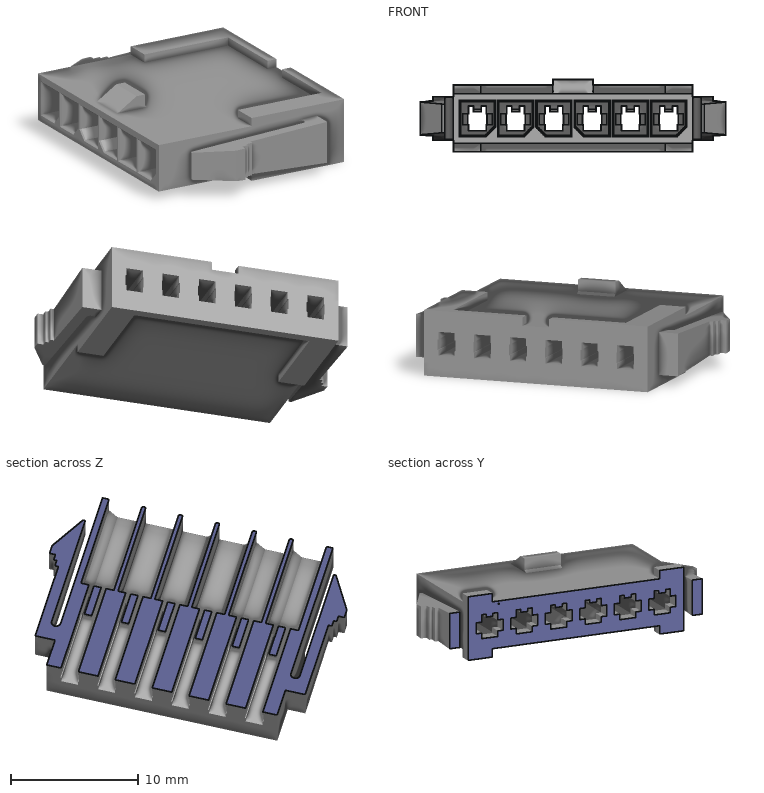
import cadquery as cq
import math


overall_width = 24.05
housing_width = 18.8
housing_length = 16.9
front_height = 3.9
rear_height = 5.27
overall_height = 5.7

half_housing = housing_width / 2
front_half_height = front_height / 2
rear_half_height = rear_height / 2

rail_start = 8.47
side_rail_width = 2.15
back_rail_depth = 0.82
back_rail_gap = 2.21

latch_width = 3.15
latch_toe = 0.82
latch_crest_front = 2.57
latch_crest_back = 3.35
latch_root_length = 0.25
latch_root_height = 0.2
latch_top = overall_height - rear_half_height

arm_back = 14.4
arm_tip = 2.5
arm_inner = 10.1
arm_outer = 11.01
arm_tip_width = 0.22
arm_tip_radius = 0.07
arm_slot_end = 13.04
arm_back_height = 3.45
arm_tip_height = 2.25
arm_overlap = 0.25
tooth_corners = [(11.3, 7.4), (11.55, 6.88), (overall_width / 2, 6.35)]
barb_ramp_start = 5.55

key_sides = [1, 1, -1, -1, 0, 1]
cavity_pitch = 3.0
cavity_size = 2.65
cavity_depth = rail_start
key_chamfer = 0.7
lead_in = 0.1

passage_width = 1.37
passage_height = 1.92
channel_width = 1.5
pocket_width = 2.3
channel_top = 0.35
channel_bottom = -0.5
pocket_depth = 2.4
lance_width = 0.63
lance_length = 2.89
lance_tip_length = 0.95
lance_step = 0.72
lance_tip = 0.5


def block(x_range, y_range, z_range):
    """Box spanning the given (low, high) range on each axis."""
    sizes = [high - low for low, high in (x_range, y_range, z_range)]
    corner = (x_range[0], y_range[0], z_range[0])
    return cq.Workplane("XY").box(*sizes, centered=False).translate(corner)


def centred(width):
    """Range of the given width about zero."""
    return (-width / 2, width / 2)


def make_housing():
    """Plain front block with rails along the sides and back of both faces."""
    whole_width = centred(housing_width)
    open_width = centred(housing_width - 2 * side_rail_width)
    open_length = (rail_start, housing_length - back_rail_depth)
    top_rails = (front_half_height, rear_half_height)
    bottom_rails = (-rear_half_height, -front_half_height)

    housing = block(whole_width, (0, housing_length), centred(front_height))
    for rail_heights in (top_rails, bottom_rails):
        rails = block(whole_width, (rail_start, housing_length), rail_heights)
        rails = rails.cut(block(open_width, open_length, rail_heights))
        housing = housing.union(rails)

    gap_length = (housing_length - back_rail_depth, housing_length)
    return housing.cut(block(centred(back_rail_gap), gap_length, top_rails))


def make_latch():
    """Ramp with an upright back and a small sloping root."""
    base = front_half_height
    profile = [
        (latch_toe, base),
        (latch_crest_front, latch_top),
        (latch_crest_back, latch_top),
        (latch_crest_back, base + latch_root_height),
        (latch_crest_back + latch_root_length, base),
    ]
    return cq.Workplane("YZ").polyline(profile).close().extrude(latch_width / 2, both=True)


def make_right_arm():
    """Toothed arm hinged at its back end, narrowing in height to its tip."""
    slot_radius = (arm_inner - half_housing) / 2
    slot_end_centre = arm_slot_end - slot_radius
    hinge_x = half_housing - arm_overlap

    outline = (
        cq.Workplane("XY")
        .moveTo(hinge_x, arm_back)
        .lineTo(arm_outer, arm_back)
    )
    step_x = arm_outer
    for tooth_x, tooth_y in tooth_corners:
        outline = outline.lineTo(step_x, tooth_y).lineTo(tooth_x, tooth_y)
        step_x = tooth_x
    outline = (
        outline.lineTo(step_x, barb_ramp_start)
        .lineTo(arm_inner + arm_tip_width, arm_tip)
        .lineTo(arm_inner + arm_tip_radius, arm_tip)
        .radiusArc((arm_inner, arm_tip + arm_tip_radius), arm_tip_radius)
        .lineTo(arm_inner, slot_end_centre)
        .threePointArc((arm_inner - slot_radius, arm_slot_end), (half_housing, slot_end_centre))
        .lineTo(hinge_x, slot_end_centre)
        .close()
    )
    arm = outline.extrude(arm_back_height / 2, both=True)

    side_profile = [
        (arm_back, arm_back_height / 2),
        (arm_tip, arm_tip_height / 2),
        (arm_tip, -arm_tip_height / 2),
        (arm_back, -arm_back_height / 2),
    ]
    taper = cq.Workplane("YZ").polyline(side_profile).close().extrude(overall_width)
    return arm.intersect(taper)


def cavity_section(y, key_side, margin=0.0):
    """Cavity outline at depth y, its walls moved outward by the margin."""
    half = cavity_size / 2 + margin
    if key_side:
        chamfer = key_chamfer + (2 - math.sqrt(2)) * margin
        points = [
            (-half * key_side, -half),
            ((half - chamfer) * key_side, -half),
            (half * key_side, chamfer - half),
            (half * key_side, half),
            (-half * key_side, half),
        ]
    else:
        points = [(-half, -half), (half, -half), (half, half), (-half, half)]
    return cq.Wire.makePolygon([cq.Vector(x, y, z) for x, z in points], close=True)


def make_cavity(key_side):
    """Void of one cavity with a bevelled mouth and its terminal passage, about X = 0."""
    mouth = cavity_section(0, key_side, margin=lead_in)
    throat = cavity_section(lead_in, key_side)
    floor = cavity_section(cavity_depth, key_side)
    cavity = cq.Workplane(cq.Solid.makeLoft([mouth, throat], True))
    cavity = cavity.union(cq.Workplane(cq.Solid.makeLoft([throat, floor], True)))

    to_back = (cavity_depth, housing_length)
    channel_heights = (channel_bottom, channel_top)
    pocket_lengths = (cavity_depth, cavity_depth + pocket_depth)
    passage = block(centred(passage_width), to_back, centred(passage_height))
    passage = passage.union(block(centred(channel_width), to_back, channel_heights))
    passage = passage.union(block(centred(pocket_width), pocket_lengths, channel_heights))

    roof = passage_height / 2
    lance_end = cavity_depth + lance_length
    lance_root = block(centred(lance_width), (cavity_depth, lance_end), (lance_step, roof))
    lance_hook = block(
        centred(lance_width), (lance_end - lance_tip_length, lance_end), (lance_tip, lance_step)
    )
    return cavity.union(passage.cut(lance_root).cut(lance_hook))


right_arm = make_right_arm()
result = make_housing().union(make_latch())
result = result.union(right_arm).union(right_arm.mirror("YZ"))

row_middle = (len(key_sides) - 1) / 2
for index, key_side in enumerate(key_sides):
    cavity_x = (index - row_middle) * cavity_pitch
    result = result.cut(make_cavity(key_side).translate((cavity_x, 0, 0)))